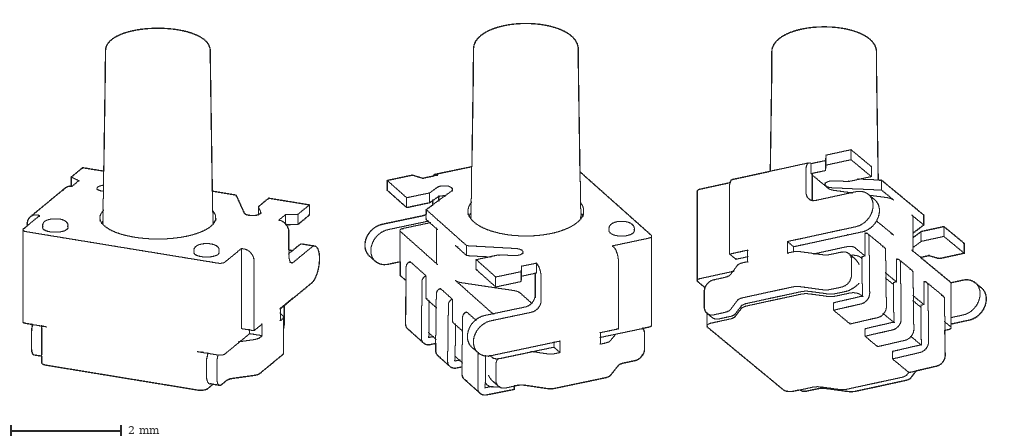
import cadquery as cq
import math


total_height = 6.09
base_bottom = 0.20
strip_bottom = 0.25
base_step = 0.95
arm_bottom = 1.18
arm_height = 0.70
arm_top = arm_bottom + arm_height
pocket_floor = 1.84
cover_top = 2.74
cover_thickness = 0.20
base_top = cover_top - cover_thickness

base_half_width = 2.00
base_half_depth = 1.60
base_corner_radius = 0.10
pocket_mouth_x = 0.45
pocket_front = 0.775
pocket_wall_end_x = pocket_mouth_x + base_half_depth - pocket_front
pocket_radius = 0.20
lower_half_width = 1.64
lower_corner_radius = 0.14
lower_back = 1.50

strip_half_length = 1.50
strip_end_radius = 0.20
strip_outer_x = 1.84
bump_crest_half_length = 0.585
bump_bend_radius = 0.20

cover_half_width = 2.25
cover_back = 1.70
cover_bend_radius = 0.20
neck_half_width = cover_half_width - cover_bend_radius
neck_back = 1.08
lug_front = 1.19
wall_front = -0.77
wall_back = 0.785
arm_tip = 2.15
arm_inner_radius = 0.20
leg_half_length = 0.405

slot_end_x = 1.46
slot_end_y = 0.935
slot_radius = 0.15
slot_angle = math.radians(56.5)
slot_mouth_x = 1.44

plunger_hole_diameter = 2.10
plunger_base_diameter = 2.00
plunger_top_diameter = 1.90
plunger_edge_radius = 0.10
rivet_diameter = 0.46
rivet_height = 0.10
rivet_edge_radius = 0.06
rivet_x = 1.50
rivet_y = -1.20

terminal_thickness = 0.15
terminal_top = 1.40
terminal_top_radius = 0.09
terminal_bend_radius = 0.18
terminal_lean = 0.8
foot_front = 0.96
outer_terminal_x = (0.84, 1.50)
middle_terminal_x = (-0.25, 0.25)


def box(x_range, y_range, z_range):
    """Axis-aligned block between the given limits."""
    size = [high - low for low, high in (x_range, y_range, z_range)]
    corner = (x_range[0], y_range[0], z_range[0])
    return cq.Workplane("XY").box(*size, centered=False).translate(corner)


def both_sides(shape):
    """The shape joined with its mirror image across the YZ plane."""
    return shape.union(shape.mirror("YZ"))


def mirrored_outline(right_edge):
    """Closed outline from its +X half, listed from front to back."""
    return right_edge + [(-x, y) for x, y in reversed(right_edge)]


def bumped_block(flat_x, bump_x, bottom):
    """Block below the base step with a 45 degree bump on each side face."""
    bump_root = bump_crest_half_length + cover_half_width - strip_outer_x
    bump_crest = bump_root - (bump_x - flat_x)
    right_edge = [
        (flat_x, -strip_half_length),
        (flat_x, -bump_root),
        (bump_x, -bump_crest),
        (bump_x, bump_crest),
        (flat_x, bump_root),
        (flat_x, strip_half_length),
    ]
    block = cq.Workplane("XY").workplane(offset=bottom).polyline(mirrored_outline(right_edge)).close()
    block = block.extrude(base_step - bottom)
    return block.edges("|Z and (not <Y) and (not >Y)").fillet(bump_bend_radius)


def make_slot():
    """Relief slot on the +X side, from its round end out to the cover's back edge."""
    along_x = -math.cos(slot_angle)
    along_y = math.sin(slot_angle)
    inner = (slot_end_x - slot_radius * along_y, slot_end_y + slot_radius * along_x)
    outer = (slot_end_x + slot_radius * along_y, slot_end_y - slot_radius * along_x)
    tip = (slot_end_x - slot_radius * along_x, slot_end_y - slot_radius * along_y)
    inner_mouth_x = inner[0] + (base_half_depth - inner[1]) * along_x / along_y
    elbow_y = outer[1] + (slot_mouth_x - outer[0]) * along_y / along_x
    return (
        cq.Workplane("XY")
        .workplane(offset=base_top)
        .moveTo(inner_mouth_x, base_half_depth)
        .lineTo(*inner)
        .threePointArc(tip, outer)
        .lineTo(slot_mouth_x, elbow_y)
        .lineTo(slot_mouth_x, base_half_depth)
        .close()
        .extrude(cover_thickness)
    )


def make_corner_pocket():
    """Recess in the +X back corner of the base, closed by a 45 degree wall."""
    outline = [
        (pocket_mouth_x, base_half_depth),
        (pocket_wall_end_x, pocket_front),
        (base_half_width, pocket_front),
        (base_half_width, base_half_depth),
    ]
    pocket = cq.Workplane("XY").workplane(offset=pocket_floor)
    return pocket.polyline(outline).close().extrude(base_top - pocket_floor)


def round_pocket_walls(base):
    """Round both ends of the slanted pocket walls."""
    reach = pocket_radius / 2
    for x, y in ((pocket_mouth_x, base_half_depth), (pocket_wall_end_x, pocket_front)):
        for side in (-1, 1):
            corner = cq.selectors.BoxSelector(
                (side * x - reach, y - reach, pocket_floor), (side * x + reach, y + reach, base_top)
            )
            base = base.edges("|Z").edges(corner).fillet(pocket_radius)
    return base


def make_base():
    """Moulded body: recessed upper block on a narrower lower block with bumped sides."""
    upper = box(
        (-base_half_width, base_half_width), (-base_half_depth, base_half_depth), (base_step, base_top)
    )
    upper = upper.edges("|Z").fillet(base_corner_radius)
    upper = round_pocket_walls(upper.cut(both_sides(make_corner_pocket())))
    lower = box(
        (-lower_half_width, lower_half_width), (-base_half_depth, lower_back), (base_bottom, base_step)
    )
    lower = lower.edges("|Z").fillet(lower_corner_radius)
    core = bumped_block(lower_half_width, base_half_width, base_bottom)
    core = core.edges("|Z").edges("<Y or >Y").fillet(lower_corner_radius)
    strip = bumped_block(strip_outer_x, cover_half_width, strip_bottom)
    strip = strip.edges("|X").edges("<Y or >Y").fillet(strip_end_radius)
    return upper.union(lower).union(core).union(strip)


def make_cover_plate():
    """Flat top of the cover with its back lugs, relief slots and plunger hole."""
    right_edge = [
        (base_half_width, -base_half_depth),
        (base_half_width, wall_front),
        (neck_half_width, wall_front),
        (neck_half_width, neck_back),
        (cover_half_width, lug_front),
        (cover_half_width, cover_back),
        (slot_mouth_x, cover_back),
        (slot_mouth_x, base_half_depth),
    ]
    plate = cq.Workplane("XY").workplane(offset=base_top)
    plate = plate.polyline(mirrored_outline(right_edge)).close().extrude(cover_thickness)
    plate = plate.edges("|Z and <Y").fillet(base_corner_radius).cut(both_sides(make_slot()))
    hole = cq.Workplane("XY").workplane(offset=base_top)
    return plate.cut(hole.circle(plunger_hole_diameter / 2).extrude(cover_thickness))


def make_cover_wall():
    """Bent-down side wall on +X with its locating arm and its leg."""
    thickness = cover_half_width - base_half_width
    tip_radius = arm_height / 2
    tip_center = arm_tip - tip_radius
    wall = (
        cq.Workplane("YZ")
        .workplane(offset=base_half_width)
        .moveTo(wall_front, cover_top)
        .lineTo(wall_front, arm_bottom)
        .lineTo(-leg_half_length, arm_bottom)
        .lineTo(-leg_half_length, base_step)
        .lineTo(leg_half_length, base_step)
        .lineTo(leg_half_length, arm_bottom)
        .lineTo(tip_center, arm_bottom)
        .threePointArc((arm_tip, arm_bottom + tip_radius), (tip_center, arm_top))
        .lineTo(wall_back + arm_inner_radius, arm_top)
        .radiusArc((wall_back, arm_top + arm_inner_radius), arm_inner_radius)
        .lineTo(wall_back, cover_top)
        .close()
        .extrude(thickness)
    )
    return wall.edges("|Y and >Z and >X").fillet(cover_bend_radius)


def make_plunger():
    """Slightly tapered plunger standing on the base."""
    base_radius = plunger_base_diameter / 2
    top_radius = plunger_top_diameter / 2
    profile = [
        (0, base_top),
        (base_radius, base_top),
        (top_radius, total_height),
        (0, total_height),
    ]
    plunger = cq.Workplane("XZ").polyline(profile).close().revolve(360, (0, 0), (0, 1))
    return plunger.faces(">Z").edges().fillet(plunger_edge_radius)


def make_rivet():
    """Rounded rivet head on the +X side of the cover."""
    head = cq.Workplane("XY").workplane(offset=cover_top).center(rivet_x, rivet_y)
    head = head.circle(rivet_diameter / 2).extrude(rivet_height)
    return head.faces(">Z").edges().fillet(rivet_edge_radius)


def make_terminal(x_range):
    """L-shaped terminal leaning slightly toward the base, pivoted at the tip of its foot."""
    stem = box(x_range, (cover_back - terminal_thickness, cover_back), (0, terminal_top))
    stem = stem.edges("|X and >Y and >Z").fillet(terminal_top_radius)
    foot = box(x_range, (foot_front, cover_back), (0, terminal_thickness))
    terminal = stem.union(foot).edges("|X and >Y and <Z").fillet(terminal_bend_radius)
    return terminal.rotate((0, foot_front, 0), (1, foot_front, 0), terminal_lean)


result = make_base()
result = result.union(make_cover_plate()).union(both_sides(make_cover_wall()))
result = result.union(make_plunger()).union(both_sides(make_rivet()))
result = result.union(both_sides(make_terminal(outer_terminal_x)))
result = result.union(make_terminal(middle_terminal_x))